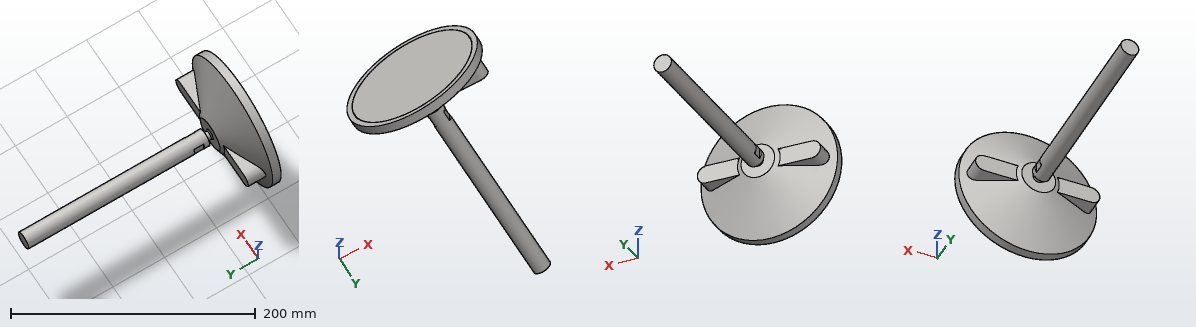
import cadquery as cq

total_length = 210.0

foot_diameter = 124.0
rim_height = 8.2
cone_top_diameter = 30.5
foot_height = 29.8

pad_diameter = 113.5
pad_recess_diameter = 114.0
pad_gap_depth = 2.0

bar_length = 111.7
bar_width = 16.0
bar_top = 28.0

ball_diameter = 12.5
ball_center = 26.0
neck_diameter = 7.8
rod_diameter = 16.0
rod_start = 34.9

flat_start = 40.1
flat_length = 9.5
across_flats = 13.0


def cylinder_y(diameter, start, end):
    """Cylinder on the Y axis between two heights."""
    base = cq.Workplane("XZ", origin=(0, start, 0))
    return base.circle(diameter / 2).extrude(start - end)


def make_foot():
    """Conical foot on a short cylindrical rim."""
    foot_radius = foot_diameter / 2
    profile = cq.Workplane("XY").polyline([
        (0, 0),
        (foot_radius, 0),
        (foot_radius, rim_height),
        (cone_top_diameter / 2, foot_height),
        (0, foot_height),
    ]).close()
    return profile.revolve(360, (0, 0, 0), (0, 1, 0))


def make_bar():
    """Round-ended bar that stands on the rim level and crosses the cone."""
    base = cq.Workplane("XZ", origin=(0, rim_height, 0))
    return base.slot2D(bar_length, bar_width).extrude(rim_height - bar_top)


def make_pad_gap():
    """Ring-shaped gap around the pad."""
    recess = cylinder_y(pad_recess_diameter, 0, pad_gap_depth)
    return recess.cut(cylinder_y(pad_diameter, 0, pad_gap_depth))


def make_spindle():
    """Ball, neck and rod, with two opposite wrench flats."""
    ball = cq.Workplane("XY").sphere(ball_diameter / 2).translate((0, ball_center, 0))
    neck = cylinder_y(neck_diameter, ball_center, rod_start)
    rod = cylinder_y(rod_diameter, rod_start, total_length)
    cutter_offset = (across_flats + rod_diameter) / 2
    for side in (-1, 1):
        cutter = cq.Workplane("XY").box(rod_diameter, flat_length, rod_diameter)
        flat_middle = flat_start + flat_length / 2
        rod = rod.cut(cutter.translate((side * cutter_offset, flat_middle, 0)))
    return rod.union(neck).union(ball)


result = make_foot().union(make_bar()).cut(make_pad_gap()).union(make_spindle())